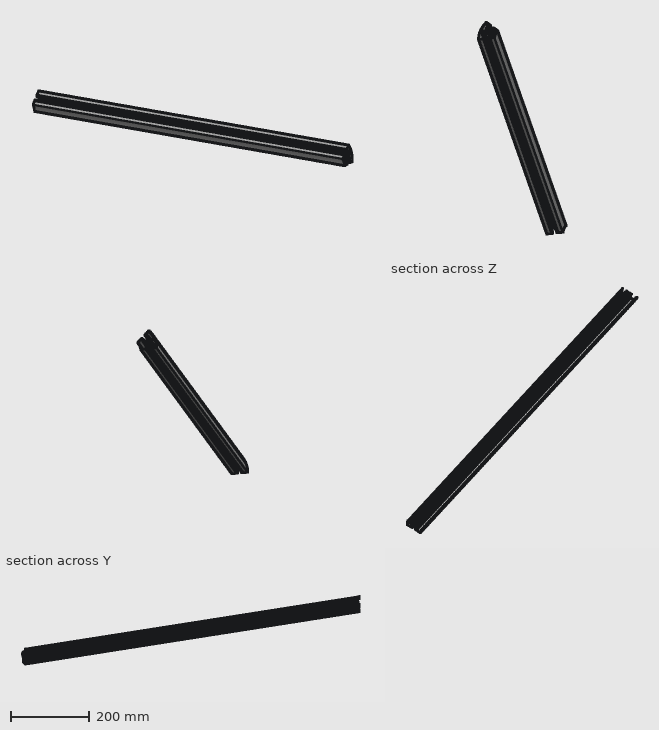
import cadquery as cq
import math

length = 914.0
outer_radius = 73.0
inner_radius = 29.0
sector_angle = 45.0
corner_fillet = 1.4
wall = 2.0

slot_radius = (outer_radius + inner_radius) / 2
opening_half_width = 5.0
mouth_half_width = 7.0
mouth_depth = 1.0
cavity_half_width = 7.8
lip_tip_height = 5.0
lip_root_height = 6.0
cavity_depth = 15.1
cavity_chamfer = 3.0
slot_wall = 1.4

hub_radius = 5.9
hub_bore_diameter = 7.0
hub_height = slot_radius * math.tan(math.radians(sector_angle / 2))
rib_thickness = 2.0


def extrude(sketch):
    return sketch.extrude(length)


def polar(radius, angle):
    radians = math.radians(angle)
    return (radius * math.cos(radians), radius * math.sin(radians))


def ring_sector(inset):
    """Ring sector with every side moved inward by the inset."""
    inner = inner_radius + inset
    outer = outer_radius - inset
    inner_start = math.degrees(math.asin(inset / inner))
    outer_start = math.degrees(math.asin(inset / outer))
    middle = sector_angle / 2
    return extrude(
        cq.Workplane("YZ")
        .moveTo(*polar(inner, inner_start))
        .lineTo(*polar(outer, outer_start))
        .threePointArc(polar(outer, middle), polar(outer, sector_angle - outer_start))
        .lineTo(*polar(inner, sector_angle - inner_start))
        .threePointArc(polar(inner, middle), polar(inner, inner_start))
        .close()
    )


def on_both_faces(body):
    """Join a body on the lower flat face with its mirror image on the upper one."""
    upper = body.mirror("XY").rotate((0, 0, 0), (1, 0, 0), sector_angle)
    return body.union(upper)


def slots():
    half_outline = [
        (mouth_half_width, 0),
        (opening_half_width, mouth_depth),
        (opening_half_width, lip_tip_height),
        (cavity_half_width, lip_root_height),
        (cavity_half_width, cavity_depth - cavity_chamfer),
        (cavity_half_width - cavity_chamfer, cavity_depth),
    ]
    right = [(slot_radius + half_width, height) for half_width, height in half_outline]
    left = [(slot_radius - half_width, height) for half_width, height in reversed(half_outline)]
    return on_both_faces(extrude(cq.Workplane("YZ").polyline(right + left).close()))


def slot_surrounds():
    """Solid blocks that hold the slot walls."""
    half_width = cavity_half_width + slot_wall
    height = cavity_depth + slot_wall
    block = (
        cq.Workplane("YZ")
        .center(slot_radius, height / 2)
        .rect(2 * half_width, height)
        .extrude(length)
        .edges("|X and >Z")
        .chamfer(cavity_chamfer)
    )
    return on_both_faces(block)


def hub_cylinder(radius):
    return extrude(cq.Workplane("YZ").center(slot_radius, hub_height).circle(radius))


def rib():
    """Radial rib from the hub to the outer curved wall."""
    hub_distance = math.hypot(slot_radius, hub_height)
    rib_length = outer_radius - hub_distance
    flat_rib = extrude(
        cq.Workplane("YZ").center(hub_distance + rib_length / 2, 0).rect(rib_length, rib_thickness)
    )
    return flat_rib.rotate((0, 0, 0), (1, 0, 0), sector_angle / 2)


chambers = ring_sector(wall).cut(slot_surrounds()).cut(hub_cylinder(hub_radius)).cut(rib())
outer_body = ring_sector(0).edges("|X").fillet(corner_fillet)
profile = outer_body.cut(chambers).cut(slots()).cut(hub_cylinder(hub_bore_diameter / 2))
result = cq.Workplane("XY").newObject([profile.solids().val()])